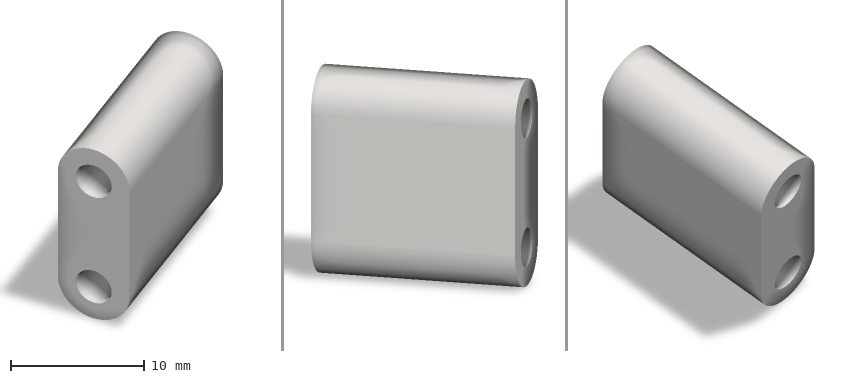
import cadquery as cq

height = 16.0
length = 16.0
width = 6.0
hole_diameter = 3.0

hole_spacing = height - width
hole_centers = [(0, -hole_spacing / 2), (0, hole_spacing / 2)]

body = cq.Workplane("XZ").slot2D(height, width, 90).extrude(length / 2, both=True)

bores = (
    cq.Workplane("XZ")
    .pushPoints(hole_centers)
    .circle(hole_diameter / 2)
    .extrude(length / 2, both=True)
)

result = body.cut(bores)